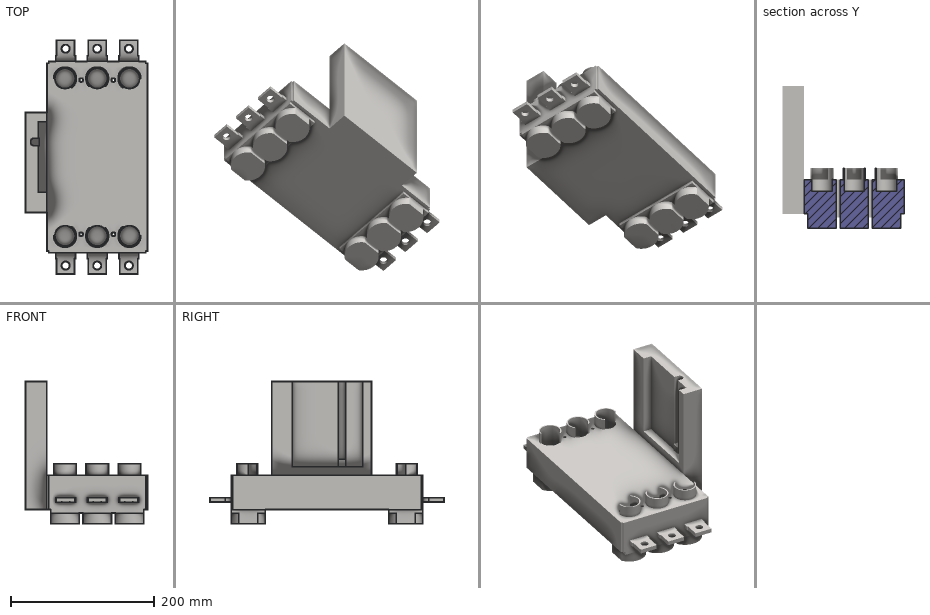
import cadquery as cq
import math


housing_width = 141.0
housing_length = 267.8
housing_height = 48.0
corner_notch = 2.5
mid_x = housing_width / 2
end_y = housing_length / 2

plate_thickness = 30.0
plate_height = 179.0
plate_length = 140.0
plate_mid_y = -7.5
pocket_depth = 12.0
pocket_length = 98.5
pocket_mid_y = 0.5
pocket_floor_z = housing_height + pocket_depth
slot_width = 10.5
slot_reach = 22.7
slot_mid_y = 21.2
slot_corner_radius = 5.0
ledge_height = 10.0
ledge_overhang = 1.3

pole_pitch = 45.0
pole_y = 110.0
poles = (-1, 0, 1)
ends = (-1, 1)

well_diameter = 28.3
collar_wall = 1.75
collar_height = 16.0
well_depth = 16.0
well_radius = well_diameter / 2
collar_radius = well_radius + collar_wall

collar_gaps = ((55, 180), (45, 135), (0, 125))

pad_inset = 5.5
pad_height = 5.0
foot_height = 15.0
foot_diameter = 2 * (end_y - pole_y)
foot_width = housing_width - 2 * pad_inset - 2 * pole_pitch
foot_bottom_z = -pad_height - foot_height

tab_pitch = 44.2
tab_thickness = 6.0
tab_bottom_z = 10.5
tab_tip_y = 163.5
tab_width = 25.5
tab_root_width = 28.0
tab_root_length = 8.0
tab_hole_diameter = 11.0
tab_hole_from_tip = 12.0

mount_hole_diameter = 5.0
mount_hole_y = 107.7
mount_offsets = (-pole_pitch / 2, pole_pitch / 2)


def box(x_min, x_max, y_min, y_max, z_min, z_max):
    """Block between the given limits."""
    size = (x_max - x_min, y_max - y_min, z_max - z_min)
    return cq.Workplane("XY").box(*size, centered=False).translate((x_min, y_min, z_min))


def cylinder(x, y, diameter, z_min, z_max):
    """Vertical cylinder between two heights."""
    base = cq.Workplane("XY", origin=(x, y, z_min))
    return base.circle(diameter / 2).extrude(z_max - z_min)


def make_housing():
    """Main block with a small square notch along each vertical corner."""
    full_width = box(0, housing_width, corner_notch - end_y, end_y - corner_notch, 0, housing_height)
    full_length = box(corner_notch, housing_width - corner_notch, -end_y, end_y, 0, housing_height)
    return full_width.union(full_length)


def slot_block(x_max, z_max):
    """Block with rounded left corners that follows the slot outline up from the pocket floor."""
    slot_min_y = slot_mid_y - slot_width / 2
    block = box(-slot_reach, x_max, slot_min_y, slot_min_y + slot_width, pocket_floor_z, z_max)
    return block.edges("|Z and <X").fillet(slot_corner_radius)


def make_plate():
    """Upright plate with a pocket facing the housing and a round-ended slot in the pocket wall.

    A ledge fills the foot of the slot and stands slightly proud of the pocket wall.
    """
    plate_min_y = plate_mid_y - plate_length / 2
    plate = box(-plate_thickness, 0, plate_min_y, plate_min_y + plate_length, 0, plate_height)
    pocket_min_y = pocket_mid_y - pocket_length / 2
    pocket = box(-pocket_depth, 0, pocket_min_y, pocket_min_y + pocket_length, pocket_floor_z, plate_height)
    slot = slot_block(0, plate_height)
    ledge = slot_block(ledge_overhang - pocket_depth, pocket_floor_z + ledge_height)
    return plate.cut(pocket).cut(slot).union(ledge)


def make_pad_and_feet(end):
    """Pad under one end of the housing with three round feet flattened on both sides."""
    pad_edges = sorted((end * end_y, end * (end_y - foot_diameter)))
    under = box(pad_inset, housing_width - pad_inset, *pad_edges, -pad_height, 0)
    for pole in poles:
        x = mid_x + pole * pole_pitch
        foot = cylinder(x, end * pole_y, foot_diameter, foot_bottom_z, -pad_height)
        flats = box(x - foot_width / 2, x + foot_width / 2, *pad_edges, foot_bottom_z, -pad_height)
        under = under.union(foot.intersect(flats))
    return under


def make_collar(x, end, gap):
    """Ring segment around a well, open over the gap angles on the side facing mid-length."""
    gap_start, gap_end = gap
    middle_angle = (gap_start + gap_end) / 2 + 180

    def point(radius, angle):
        direction = math.radians(angle)
        return (radius * math.cos(direction), -end * radius * math.sin(direction))

    ring = (
        cq.Workplane("XY", origin=(x, end * pole_y, housing_height))
        .moveTo(*point(collar_radius, gap_end))
        .threePointArc(point(collar_radius, middle_angle), point(collar_radius, gap_start))
        .lineTo(*point(well_radius, gap_start))
        .threePointArc(point(well_radius, middle_angle), point(well_radius, gap_end))
        .close()
    )
    return ring.extrude(collar_height)


def make_tab(x, end):
    """Flat terminal tab with a wider root and a bolt hole near its tip."""
    top_z = tab_bottom_z + tab_thickness
    root_edges = sorted((end * end_y, end * (end_y + tab_root_length)))
    blade_edges = sorted((end * end_y, end * tab_tip_y))
    root = box(x - tab_root_width / 2, x + tab_root_width / 2, *root_edges, tab_bottom_z, top_z)
    blade = box(x - tab_width / 2, x + tab_width / 2, *blade_edges, tab_bottom_z, top_z)
    hole_y = end * (tab_tip_y - tab_hole_from_tip)
    hole = cylinder(x, hole_y, tab_hole_diameter, tab_bottom_z, top_z)
    return root.union(blade).cut(hole)


def cut_mount_holes(part, end):
    """Through holes between the poles at one end."""
    for offset in mount_offsets:
        x = mid_x + offset
        hole = cylinder(x, end * mount_hole_y, mount_hole_diameter, foot_bottom_z, housing_height)
        part = part.cut(hole)
    return part


def add_terminals(part, end):
    """Well, collar and tab for each of the poles at one end."""
    for pole, gap in zip(poles, collar_gaps):
        x = mid_x + pole * pole_pitch
        well = cylinder(x, end * pole_y, well_diameter, housing_height - well_depth, housing_height)
        part = part.cut(well)
        part = part.union(make_collar(x, end, gap))
        part = part.union(make_tab(mid_x + pole * tab_pitch, end))
    return part


result = make_housing().union(make_plate())

for end in ends:
    result = result.union(make_pad_and_feet(end))
    result = add_terminals(result, end)
    result = cut_mount_holes(result, end)